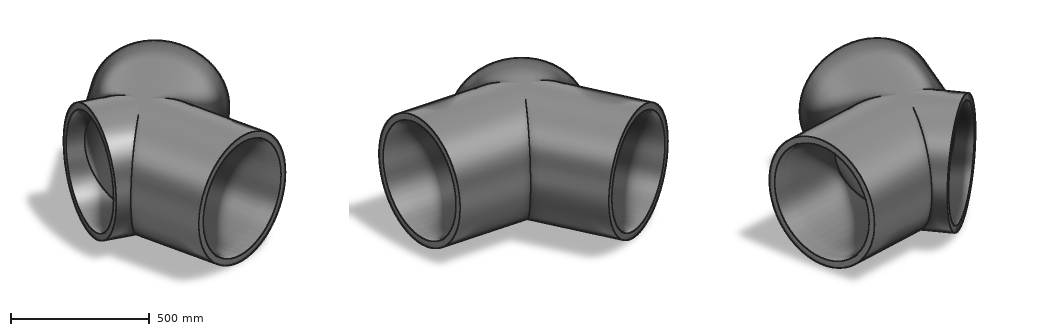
import cadquery as cq
import math

outer_diameter = 508.0
bore_diameter = 455.62
inlet_length = 203.2
outlet_length = 457.2

branch_spacing = 120.0
inlet_direction = -90.0
first_outlet_direction = inlet_direction + branch_spacing
second_outlet_direction = first_outlet_direction + branch_spacing


def mitre_wedge(length):
    """Upright wedge opening along +X from the origin, bounded by the two mitre planes."""
    half_width = length * math.tan(math.radians(branch_spacing / 2))
    return (
        cq.Workplane("XY")
        .polyline([(0, 0), (length, -half_width), (length, half_width)])
        .close()
        .extrude(outer_diameter, both=True)
    )


def branch(length, direction):
    """Pipe along one direction, mitred at the origin to match its neighbours."""
    pipe = (
        cq.Workplane("YZ")
        .circle(outer_diameter / 2)
        .circle(bore_diameter / 2)
        .extrude(length)
    )
    mitred_pipe = pipe.intersect(mitre_wedge(length))
    return mitred_pipe.rotate((0, 0, 0), (0, 0, 1), direction)


inlet = branch(inlet_length, inlet_direction)
first_outlet = branch(outlet_length, first_outlet_direction)
second_outlet = branch(outlet_length, second_outlet_direction)

result = inlet.union(first_outlet).union(second_outlet)